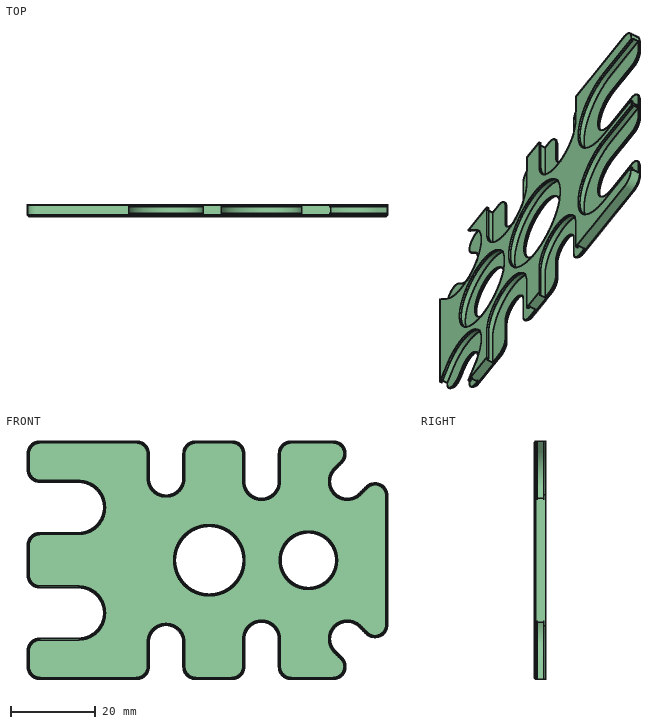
import cadquery as cq

LENGTH = 85.6
HEIGHT = 56.6
THICKNESS = 2.8
CORNER_RADIUS = 3.0
CHAMFER = 0.4

PLATE_THICKNESS = 0.8
LIP_THICKNESS = 0.5
LIP_OVERHANG = 0.6

SIDE_POCKET_RADIUS = 12.15
SMALL_POCKET_RADIUS = 8.8
MEDIUM_POCKET_RADIUS = 9.6
POCKET_WALL = 0.8

SIDE_SLOT_RADIUS = 6.0
EDGE_SLOT_RADIUS = 4.0

SMALL_POCKET_X = 32.95
MEDIUM_POCKET_X = 55.6

LARGE_WINDOW_POCKET_RADIUS = SIDE_POCKET_RADIUS
SMALL_WINDOW_POCKET_RADIUS = 10.7
WINDOWS = [
    (43.2, 16.1, LARGE_WINDOW_POCKET_RADIUS),
    (66.8, 13.0, SMALL_WINDOW_POCKET_RADIUS),
]

HALF_HEIGHT = HEIGHT / 2
SLOT_REACH = 3 * SIDE_POCKET_RADIUS
EDGE_TOLERANCE = 0.01


def make_stations():
    """List every pocket as (x, z, opening angle in degrees, pocket radius, slot radius)."""
    side_z = SIDE_POCKET_RADIUS + POCKET_WALL / 2
    small_z = HALF_HEIGHT - SMALL_POCKET_RADIUS
    medium_z = HALF_HEIGHT - MEDIUM_POCKET_RADIUS
    corner_x = LENGTH - MEDIUM_POCKET_RADIUS
    stations = []
    for side in (1, -1):
        stations += [
            (SIDE_POCKET_RADIUS, side * side_z, 180, SIDE_POCKET_RADIUS, SIDE_SLOT_RADIUS),
            (SMALL_POCKET_X, side * small_z, side * 90, SMALL_POCKET_RADIUS, EDGE_SLOT_RADIUS),
            (MEDIUM_POCKET_X, side * medium_z, side * 90, MEDIUM_POCKET_RADIUS, EDGE_SLOT_RADIUS),
            (corner_x, side * medium_z, side * 45, MEDIUM_POCKET_RADIUS, EDGE_SLOT_RADIUS),
        ]
    return stations


def open_slot(x, z, angle, radius, y_start, depth):
    """Round-ended slot centred at (x, z) that runs out past the card edge."""
    slot = (
        cq.Workplane("XZ", origin=(x, y_start, z))
        .moveTo(0, -radius)
        .lineTo(SLOT_REACH, -radius)
        .lineTo(SLOT_REACH, radius)
        .lineTo(0, radius)
        .threePointArc((-radius, 0), (0, -radius))
        .close()
        .extrude(-depth)
    )
    return slot.rotate((x, 0, z), (x, 1, z), -angle)


def disc(x, radius, y_start, depth):
    """Round cutter on the centre line of the card."""
    return cq.Workplane("XZ", origin=(x, y_start, 0)).circle(radius).extrude(-depth)


def on_card_edge(edge):
    """True for an edge lying on the outer rectangle of the card."""
    centre = edge.Center()
    gaps = (centre.x, LENGTH - centre.x, HALF_HEIGHT - abs(centre.z))
    return min(gaps) < EDGE_TOLERANCE


stations = make_stations()

card = cq.Workplane("XY").box(LENGTH, THICKNESS, HEIGHT, centered=(False, False, True))
for x, z, angle, pocket_radius, slot_radius in stations:
    card = card.cut(open_slot(x, z, angle, slot_radius, 0, THICKNESS))
card = card.edges("|Y").filter(on_card_edge).fillet(CORNER_RADIUS)

for x, diameter, pocket_radius in WINDOWS:
    card = card.cut(disc(x, diameter / 2, 0, THICKNESS))

card = card.faces("<Y").edges().chamfer(CHAMFER)

lip_start = THICKNESS - LIP_THICKNESS
pocket_depth = lip_start - PLATE_THICKNESS
for x, z, angle, pocket_radius, slot_radius in stations:
    lip_radius = pocket_radius - LIP_OVERHANG
    card = card.cut(open_slot(x, z, angle, pocket_radius, PLATE_THICKNESS, pocket_depth))
    card = card.cut(open_slot(x, z, angle, lip_radius, lip_start, LIP_THICKNESS))
for x, diameter, pocket_radius in WINDOWS:
    lip_radius = pocket_radius - LIP_OVERHANG
    card = card.cut(disc(x, pocket_radius, PLATE_THICKNESS, pocket_depth))
    card = card.cut(disc(x, lip_radius, lip_start, LIP_THICKNESS))

result = card